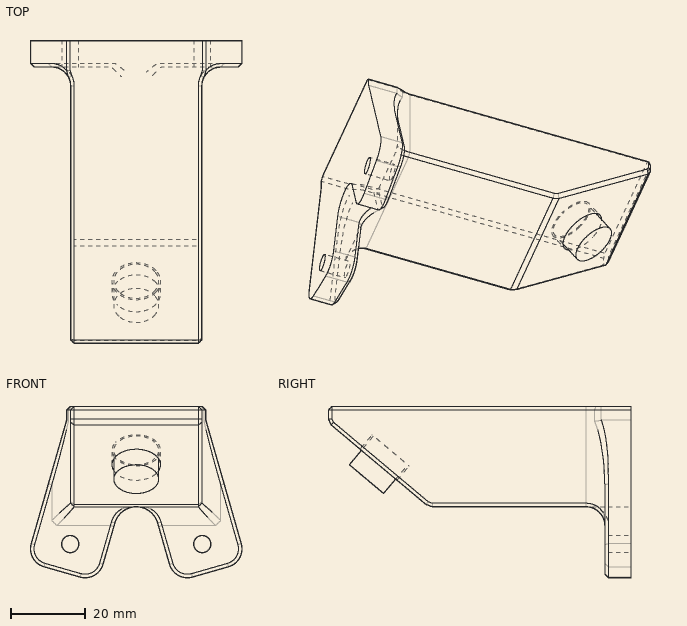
import cadquery as cq
import math

arm_length = 80.8
arm_width = 35.1
arm_height = 26.8
nose_height = 4.4
slant_angle = math.radians(40)
flare_radius = 5.0
edge_chamfer = 1.0

plate_thickness = 7.0
plate_top_width = 37.2
shoulder_drop = 3.6
splay_angle = math.radians(16)
leg_length = 39.35
leg_corner_radius = 5.0
gap_radius = 5.9
hole_diameter = 4.5
hole_spacing = 35.2
hole_drop = 36.8

boss_diameter = 12.0
boss_height = 5.0
recess_diameter = 12.9
recess_depth = 5.0

plate_front = -plate_thickness
flare_end = plate_front - flare_radius
slant_run = (arm_height - nose_height) / math.tan(slant_angle)
slant_start = -(arm_length - slant_run)
arc_middle = flare_radius * (1 - math.sqrt(0.5))
sin_splay = math.sin(splay_angle)
cos_splay = math.cos(splay_angle)
tolerance = 0.01


def arm_from_above():
    """Arm width along Y, flaring in quarter rounds to meet the plate."""
    side = arm_width / 2
    foot = side + flare_radius
    return (
        cq.Workplane("XY")
        .moveTo(-side, -arm_length)
        .lineTo(side, -arm_length)
        .lineTo(side, flare_end)
        .threePointArc((side + arc_middle, plate_front - arc_middle), (foot, plate_front))
        .lineTo(foot, 0)
        .lineTo(-foot, 0)
        .lineTo(-foot, plate_front)
        .threePointArc((-side - arc_middle, plate_front - arc_middle), (-side, flare_end))
        .close()
        .extrude(-arm_height - flare_radius)
    )


def arm_from_side():
    """Arm height along Y, with the slanted end and the flare underneath."""
    foot = -arm_height - flare_radius
    return (
        cq.Workplane("YZ")
        .moveTo(0, 0)
        .lineTo(-arm_length, 0)
        .lineTo(-arm_length, -nose_height)
        .lineTo(slant_start, -arm_height)
        .lineTo(flare_end, -arm_height)
        .threePointArc((plate_front - arc_middle, -arm_height - arc_middle), (plate_front, foot))
        .lineTo(0, foot)
        .close()
        .extrude(arm_width / 2 + flare_radius, both=True)
    )


def plate_outline(depth):
    """Plate shape seen along Y, extruded forward from the back face."""
    shoulder = plate_top_width / 2
    outer_x = shoulder + leg_length * sin_splay
    outer_z = -shoulder_drop - leg_length * cos_splay
    gap_center = -arm_height - gap_radius
    gap_x = gap_radius * cos_splay
    gap_z = gap_center + gap_radius * sin_splay
    leg_width = (outer_x - gap_x) * cos_splay + (outer_z - gap_z) * sin_splay
    inner_x = outer_x - leg_width * cos_splay
    inner_z = outer_z - leg_width * sin_splay
    blank = (
        cq.Workplane("XZ")
        .moveTo(-shoulder, 0)
        .lineTo(shoulder, 0)
        .lineTo(shoulder, -shoulder_drop)
        .lineTo(outer_x, outer_z)
        .lineTo(inner_x, inner_z)
        .lineTo(gap_x, gap_z)
        .threePointArc((0, -arm_height), (-gap_x, gap_z))
        .lineTo(-inner_x, inner_z)
        .lineTo(-outer_x, outer_z)
        .lineTo(-shoulder, -shoulder_drop)
        .close()
        .extrude(depth)
    )
    leg_ends = cq.selectors.BoxSelector(
        (-2 * outer_x, -2 * depth, outer_z - leg_width),
        (2 * outer_x, depth, outer_z + edge_chamfer),
    )
    return blank.edges("|Y").edges(leg_ends).fillet(leg_corner_radius)


def slant_workplane():
    """Workplane at the middle of the slanted face, pointing out of it."""
    middle_y = slant_start - slant_run / 2
    middle_z = -(arm_height + nose_height) / 2
    slant_plane = cq.Plane(
        origin=(0, middle_y, middle_z),
        xDir=(1, 0, 0),
        normal=(0, -math.sin(slant_angle), -math.cos(slant_angle)),
    )
    return cq.Workplane(slant_plane)


def recess():
    return slant_workplane().circle(recess_diameter / 2).extrude(-recess_depth)


def boss():
    """Boss rising from the floor of the recess, with a narrow gap around it."""
    floor = slant_workplane().workplane(offset=-recess_depth)
    return floor.circle(boss_diameter / 2).extrude(recess_depth + boss_height)


def screw_holes():
    places = [(-hole_spacing / 2, -hole_drop), (hole_spacing / 2, -hole_drop)]
    return cq.Workplane("XZ").pushPoints(places).circle(hole_diameter / 2).extrude(plate_thickness)


def is_chamfered(edge):
    """True for the sharp outer edges, apart from those around the plate's back."""
    box = edge.BoundingBox()
    if box.ymax > -tolerance:
        return box.ylen > tolerance and box.zmin > -tolerance
    if edge.geomType() != "LINE" or box.ylen > tolerance:
        return True
    at_flare_end = abs(box.ymin - flare_end) < tolerance
    at_plate_front = abs(box.ymin - plate_front) < tolerance
    is_level_or_upright = box.xlen < tolerance or box.zlen < tolerance
    return not (at_flare_end or (at_plate_front and is_level_or_upright))


arm = arm_from_above().intersect(arm_from_side()).intersect(plate_outline(arm_length))
body = arm.union(plate_outline(plate_thickness)).val().Solids()[0]
sharp_edges = [edge for edge in body.Edges() if is_chamfered(edge)]
chamfered = body.chamfer(edge_chamfer, None, sharp_edges).fix()
result = cq.Workplane(chamfered).cut(screw_holes()).cut(recess()).union(boss())